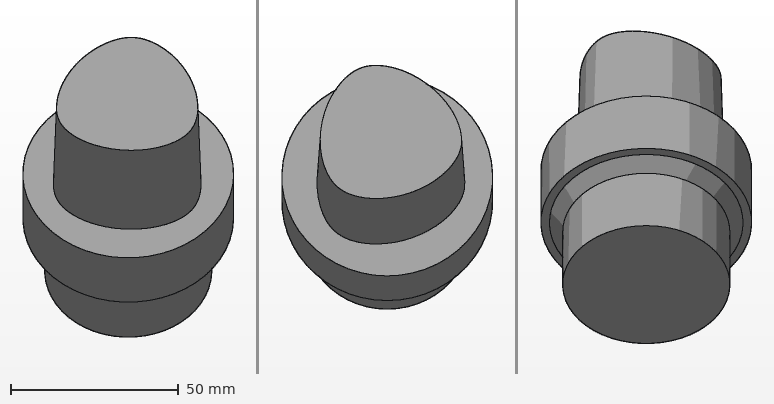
import cadquery as cq
import math

TOTAL_HEIGHT = 86.0
FLANGE_TOP = 48.1
FLANGE_BOTTOM = 26.1
NECK_TOP = 22.0

FLANGE_DIAMETER = 62.95
NECK_DIAMETER = 50.0
CONE_TOP_DIAMETER = 57.8

SHANK_BASE_WIDTH = 44.1
SHANK_TAPER = 1 / 20
LOBE_DEPTH = 1.3
LOBE_START_ANGLE = -math.pi / 2

SHANK_HEIGHT = TOTAL_HEIGHT - FLANGE_TOP
SHANK_TOP_WIDTH = SHANK_BASE_WIDTH - SHANK_TAPER * SHANK_HEIGHT


def lobed_outline(width):
    """Constant-width outline at distance width / 2 + LOBE_DEPTH * cos(3a) along normal angle a."""

    def point(turn):
        angle = 2 * math.pi * turn
        distance = width / 2 + LOBE_DEPTH * math.cos(3 * angle)
        slope = -3 * LOBE_DEPTH * math.sin(3 * angle)
        normal = angle + LOBE_START_ANGLE
        x = distance * math.cos(normal) - slope * math.sin(normal)
        y = distance * math.sin(normal) + slope * math.cos(normal)
        return (x, y)

    segments = 36
    points = [cq.Vector(*point(i / segments)) for i in range(segments)]
    return cq.Wire.assembleEdges([cq.Edge.makeSpline(points, periodic=True)])


def make_body():
    """Neck, conical shoulder and flange revolved about Z."""
    return (
        cq.Workplane("XZ")
        .moveTo(0, 0)
        .lineTo(NECK_DIAMETER / 2, 0)
        .lineTo(NECK_DIAMETER / 2, NECK_TOP)
        .lineTo(CONE_TOP_DIAMETER / 2, FLANGE_BOTTOM)
        .lineTo(FLANGE_DIAMETER / 2, FLANGE_BOTTOM)
        .lineTo(FLANGE_DIAMETER / 2, FLANGE_TOP)
        .lineTo(0, FLANGE_TOP)
        .close()
        .revolve(360, (0, 0, 0), (0, 1, 0))
    )


def make_shank():
    """Ruled loft between the lobed outlines at the flange and at the top."""
    base = lobed_outline(SHANK_BASE_WIDTH).translate(cq.Vector(0, 0, FLANGE_TOP))
    top = lobed_outline(SHANK_TOP_WIDTH).translate(cq.Vector(0, 0, TOTAL_HEIGHT))
    return cq.Workplane(obj=cq.Solid.makeLoft([base, top], True))


result = make_body().union(make_shank())